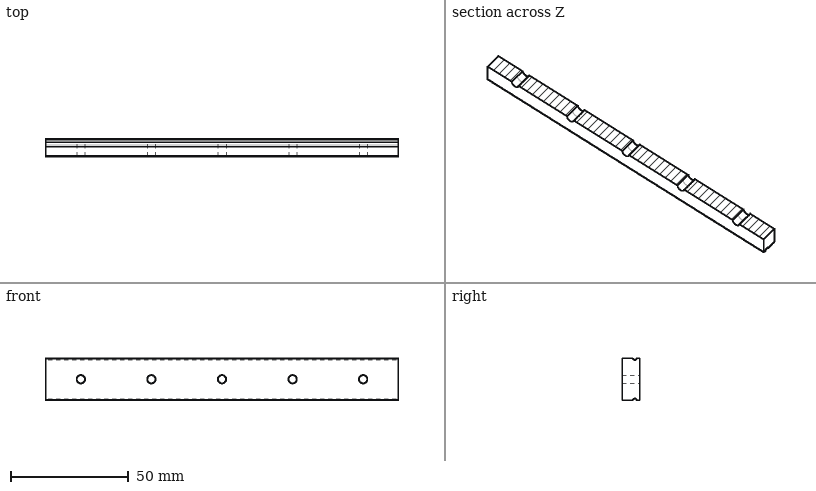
import cadquery as cq
import math

length = 150.0
thickness = 7.5
height = 18.0
edge_chamfer = 0.3

land_width = 1.4
groove_radius = 0.8
flank_start = 1.0
groove_width = 2.0

hole_count = 5
hole_diameter = 3.5
hole_pitch = length / hole_count


def rail_body():
    return cq.Workplane("XY").box(length, thickness, height).edges("|X").chamfer(edge_chamfer)


def edge_groove(side):
    """Groove cutter along the top edge (side = 1) or the bottom edge (side = -1)."""
    back_y = thickness / 2 - land_width
    centre_y = back_y - groove_radius
    edge_z = side * height / 2
    flank_depth = math.sqrt(groove_radius**2 - (flank_start - groove_radius) ** 2)
    return (
        cq.Workplane("YZ", origin=(-length / 2, 0, 0))
        .moveTo(back_y, edge_z)
        .threePointArc(
            (centre_y, edge_z - side * groove_radius),
            (back_y - flank_start, edge_z - side * flank_depth),
        )
        .lineTo(back_y - groove_width, edge_z)
        .close()
        .extrude(length)
    )


def mounting_holes():
    return (
        cq.Workplane("XZ")
        .rarray(hole_pitch, 1.5, hole_count, 1)
        .circle(hole_diameter / 2)
        .extrude(thickness, both=True)
    )


result = rail_body().cut(mounting_holes())
for side in (1, -1):
    result = result.cut(edge_groove(side))